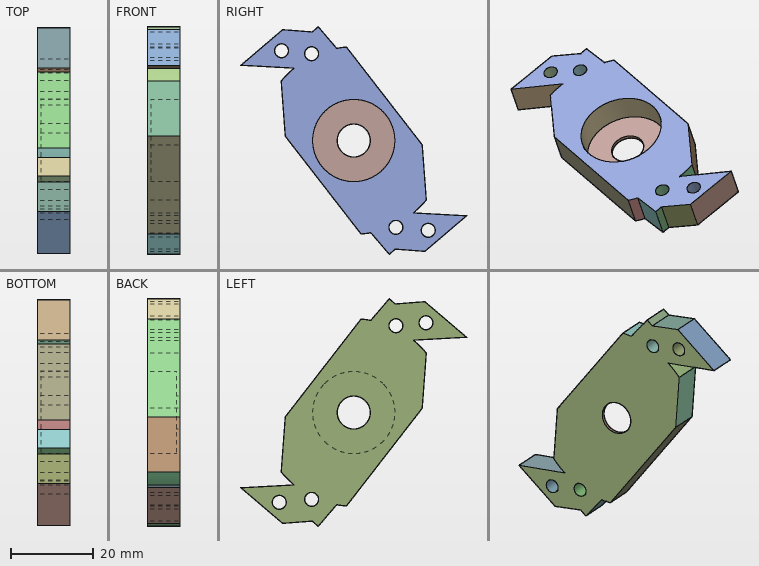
import cadquery as cq
import math

thickness = 8.0
body_radius = 22.85

bore_diameter = 8.0
recess_diameter = 20.0
web_thickness = 0.9

pin_diameter = 3.35
pin_centres = [(-10.25, 21.15), (-17.6, 21.85), (10.25, -21.15), (18.15, -21.85)]


def on_body_circle(y):
    """Point at the given Y on the upper half of the body circle."""
    return (y, math.sqrt(body_radius**2 - y**2))


def arc_middle(start, end):
    """Middle of the short body-circle arc between two of its points."""
    y = start[0] + end[0]
    z = start[1] + end[1]
    scale = body_radius / math.hypot(y, z)
    return (y * scale, z * scale)


side_corner = (16.7, -1.05)
shoulder_start = on_body_circle(-1.8)
shoulder_end = on_body_circle(-4.15)
arm_peak = (-8.65, 27.75)
arm_step = (-10.1, 26.45)
arm_corner = (-17.3, 27.0)
arm_tip = (-27.5, 18.3)
notch_root = on_body_circle(-14.6)
notch_end = on_body_circle(-17.7)


def add_half(outline, turn):
    """Trace one half of the outline; turn = -1 gives the half turned by 180 degrees."""
    def turned(point):
        return (turn * point[0], turn * point[1])

    outline = outline.lineTo(*turned(shoulder_start))
    outline = outline.threePointArc(turned(arc_middle(shoulder_start, shoulder_end)), turned(shoulder_end))
    for corner in (arm_peak, arm_step, arm_corner, arm_tip, notch_root):
        outline = outline.lineTo(*turned(corner))
    outline = outline.threePointArc(turned(arc_middle(notch_root, notch_end)), turned(notch_end))
    return outline


def make_plate():
    outline = cq.Workplane("YZ", origin=(-thickness / 2, 0, 0)).moveTo(*side_corner)
    outline = add_half(outline, 1)
    outline = outline.lineTo(-side_corner[0], -side_corner[1])
    outline = add_half(outline, -1)
    return outline.close().extrude(thickness)


def make_bore():
    through = cq.Workplane("YZ").circle(bore_diameter / 2).extrude(thickness / 2, both=True)
    recess_floor = -thickness / 2 + web_thickness
    recess = (
        cq.Workplane("YZ", origin=(recess_floor, 0, 0))
        .circle(recess_diameter / 2)
        .extrude(thickness - web_thickness)
    )
    return through.union(recess)


def make_pin_holes():
    return (
        cq.Workplane("YZ")
        .pushPoints(pin_centres)
        .circle(pin_diameter / 2)
        .extrude(thickness / 2, both=True)
    )


result = make_plate().cut(make_bore()).cut(make_pin_holes())